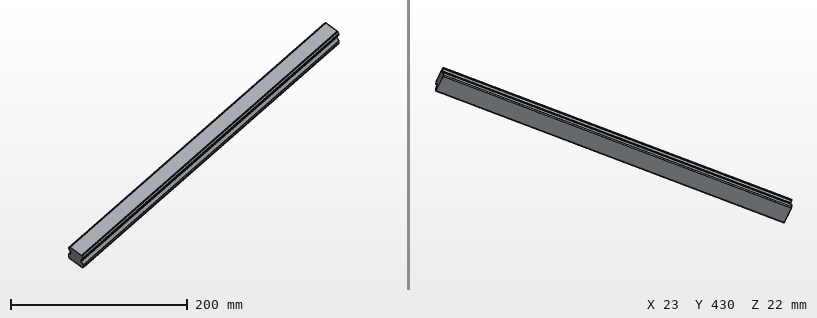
import cadquery as cq

length = 430.0
width = 23.0
height = 22.0
half_width = width / 2

base_chamfer = 1.5
foot_top = 6.5
neck_bottom = 10.0
neck_half_width = 8.0
neck_top = 13.5

lower_groove_half_width = 9.0
lower_groove_bottom = 14.0
lower_groove_radius = 2.5

nose_bottom = 17.0
nose_top = 18.5
nose_bevel = 0.65
groove_lip_half_width = half_width - nose_bevel

upper_groove_radius = 2.0
top_half_width = 8.5
top_bevel_width = 1.0
top_bevel_height = 0.5
upper_groove_half_width = top_half_width + top_bevel_width
upper_groove_top = height - top_bevel_height


def right_half_outline():
    """Closed outline of the half profile on the +X side of the centre plane."""
    base = (
        cq.Workplane("XZ")
        .lineTo(half_width - base_chamfer, 0)
        .lineTo(half_width, base_chamfer)
        .lineTo(half_width, foot_top)
        .lineTo(neck_half_width, neck_bottom)
        .lineTo(neck_half_width, neck_top)
    )
    head = (
        base.lineTo(lower_groove_half_width, lower_groove_bottom)
        .radiusArc((groove_lip_half_width, nose_bottom - nose_bevel), lower_groove_radius)
        .lineTo(half_width, nose_bottom)
        .lineTo(half_width, nose_top)
        .lineTo(groove_lip_half_width, nose_top + nose_bevel)
        .radiusArc((upper_groove_half_width, upper_groove_top), upper_groove_radius)
        .lineTo(top_half_width, height)
    )
    return head.lineTo(0, height).close()


right_half = right_half_outline().extrude(length / 2, both=True)
result = right_half.union(right_half.mirror("YZ")).clean()